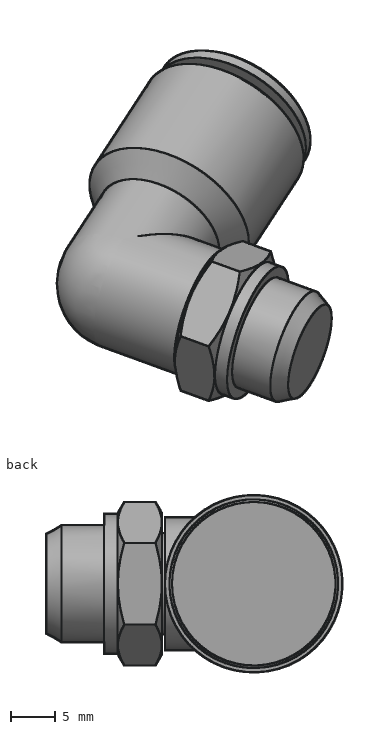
import cadquery as cq
import math

overall_length_x = 33.4
overall_length_y = 37
arm_radius = 7.5
socket_diameter = 20.0
socket_radius = socket_diameter / 2
collar_neck_radius = 7.8
collar_radius = 9.5
collar_chamfer = 0.3

hex_across_flats = 16.0
hex_across_corners = hex_across_flats / math.cos(math.radians(30))
hex_chamfer_angle = 30
hex_face_radius = 7.9

socket_cone_start = 9.3
socket_cone_end = socket_cone_start + (socket_radius - arm_radius)
socket_end = 25.9
collar_start = 27.5
collar_end = overall_length_y - hex_across_flats / 2

arm_end = 10.03
hex_start = 10.32
hex_end = 15.35
washer_end = 16.87
thread_chamfer_start = 21.65
thread_end = overall_length_x - socket_radius

gap_neck_radius = 5.75
washer_radius = hex_face_radius
thread_radius = 6.62
thread_tip_radius = 5.62


def revolve_along_y(profile):
    """Revolve (radius, station) points about the Y axis."""
    return cq.Workplane("XY").polyline(profile).close().revolve(360, (0, 0), (0, 1))


def revolve_along_x(profile):
    """Revolve (station, radius) points about the X axis."""
    return cq.Workplane("XY").polyline(profile).close().revolve(360, (0, 0), (1, 0))


def make_socket_arm():
    return revolve_along_y([
        (0, 0),
        (arm_radius, 0),
        (arm_radius, socket_cone_start),
        (socket_radius, socket_cone_end),
        (socket_radius, socket_end),
        (collar_neck_radius, socket_end),
        (collar_neck_radius, collar_start),
        (collar_radius, collar_start),
        (collar_radius, collar_end - collar_chamfer),
        (collar_radius - collar_chamfer, collar_end),
        (0, collar_end),
    ])


def make_threaded_arm():
    return revolve_along_x([
        (0, 0),
        (0, arm_radius),
        (arm_end, arm_radius),
        (arm_end, gap_neck_radius),
        (hex_end, gap_neck_radius),
        (hex_end, washer_radius),
        (washer_end, washer_radius),
        (washer_end, thread_radius),
        (thread_chamfer_start, thread_radius),
        (thread_end, thread_tip_radius),
        (thread_end, 0),
    ])


def make_hex():
    """Hexagon with corners on Z, its corners turned to a cone at both faces."""
    corner_radius = hex_across_corners / 2
    cone_length = (corner_radius - hex_face_radius) * math.tan(math.radians(hex_chamfer_angle))
    prism = (
        cq.Workplane("YZ", origin=(hex_start, 0, 0))
        .transformed(rotate=(0, 0, 90))
        .polygon(6, hex_across_corners)
        .extrude(hex_end - hex_start)
    )
    turned_blank = revolve_along_x([
        (hex_start, 0),
        (hex_start, hex_face_radius),
        (hex_start + cone_length, corner_radius),
        (hex_end - cone_length, corner_radius),
        (hex_end, hex_face_radius),
        (hex_end, 0),
    ])
    return prism.intersect(turned_blank)


elbow_ball = cq.Workplane("XY").sphere(arm_radius)
result = make_socket_arm().union(make_threaded_arm()).union(elbow_ball).union(make_hex())